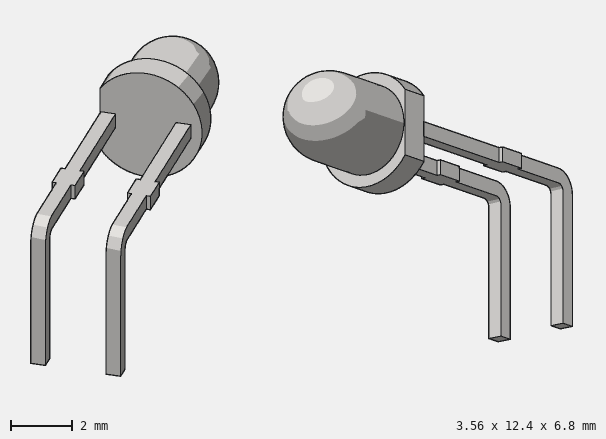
import cadquery as cq
import math


lens_radius = 1.5
body_length = 4.5
flange_radius = 1.9
flange_thickness = 1.0
flat_offset = 1.55

lead_pitch = 2.54
lead_width = 0.5
lead_reach = 7.87
lead_drop = 4.9
bend_inner_radius = 0.25
bend_outer_radius = bend_inner_radius + lead_width

tab_width = 0.78
tab_length = 1.0
tab_start = 4.0


def make_lens():
    """Cylinder with a hemispherical front, revolved about the Y axis."""
    dome_start = body_length - lens_radius
    dome_mid = lens_radius * math.sqrt(0.5)
    return (
        cq.Workplane("XY")
        .lineTo(lens_radius, 0)
        .lineTo(lens_radius, dome_start)
        .threePointArc((dome_mid, dome_start + dome_mid), (0, body_length))
        .close()
        .revolve(360, (0, 0, 0), (0, 1, 0))
    )


def make_flange():
    """Disc behind the lens, cut by a flat that marks the polarity."""
    flat_half_height = math.sqrt(flange_radius**2 - flat_offset**2)
    return (
        cq.Workplane("XZ")
        .moveTo(-flat_offset, -flat_half_height)
        .threePointArc((flange_radius, 0), (-flat_offset, flat_half_height))
        .close()
        .extrude(-flange_thickness)
    )


def make_lead(x_center):
    """Square lead running back from the flange, then bent down, with its standoff tab."""
    half = lead_width / 2
    bend_y = bend_outer_radius - lead_reach
    bend_z = half - bend_outer_radius
    inner_leg_y = lead_width - lead_reach
    diagonal = math.sqrt(0.5)
    outer_mid = bend_outer_radius * diagonal
    inner_mid = bend_inner_radius * diagonal
    wire = (
        cq.Workplane("YZ", origin=(x_center, 0, 0))
        .moveTo(0, half)
        .lineTo(bend_y, half)
        .threePointArc((bend_y - outer_mid, bend_z + outer_mid), (-lead_reach, bend_z))
        .lineTo(-lead_reach, -lead_drop)
        .lineTo(inner_leg_y, -lead_drop)
        .lineTo(inner_leg_y, bend_z)
        .threePointArc((bend_y - inner_mid, bend_z + inner_mid), (bend_y, -half))
        .lineTo(0, -half)
        .close()
        .extrude(half, both=True)
    )
    tab = cq.Workplane("XY").box(tab_width, tab_length, lead_width)
    tab_y = -(tab_start + tab_length / 2)
    return wire.union(tab.translate((x_center, tab_y, 0)))


result = make_lens().union(make_flange())
for side in (-1, 1):
    result = result.union(make_lead(side * lead_pitch / 2))